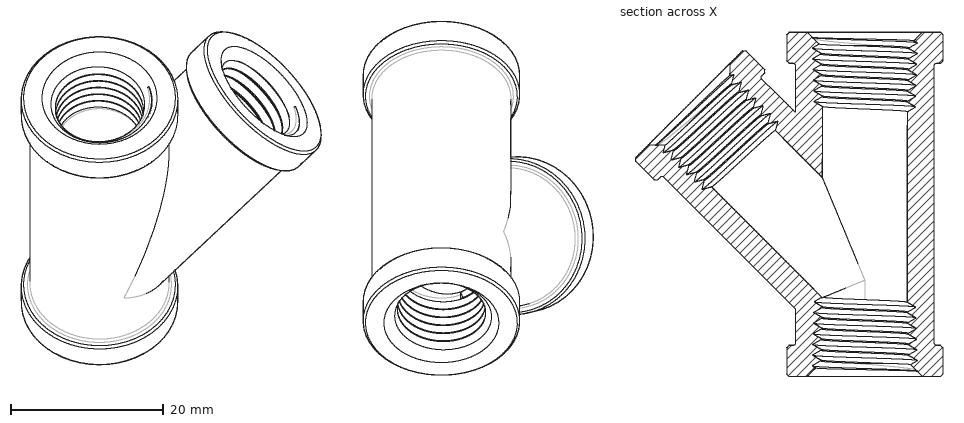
import cadquery as cq
import math


run_length = 45.25
pipe_radius = 9.15
collar_diameter = 20.6
collar_length = 4.1
collar_chamfer = 0.3
collar_root_fillet = 0.3

branch_angle = 45.0
branch_height = 12.65
branch_length = 32.65

bore_radius = 5.55
mouth_radius = 7.55

thread_pitch = 1.4
thread_length = 9.8
thread_depth = 1.1
thread_flank_angle = 30.0
thread_taper = 1 / 32
thread_turns = 6.5
thread_overlap = 0.023
thread_end_azimuth = -90.0

collar_radius = collar_diameter / 2
thread_mouth_radius = bore_radius + thread_length * thread_taper

countersink_depth = (mouth_radius - thread_mouth_radius) / (1 - thread_taper)


def place_run_top(shape):
    return shape.translate((0, 0, run_length))


def place_run_bottom(shape):
    return shape.rotate((0, 0, 0), (1, 0, 0), 180)


def place_branch(shape):
    along_branch = shape.translate((0, 0, branch_length))
    return along_branch.rotate((0, 0, 0), (1, 0, 0), -branch_angle).translate((0, 0, branch_height))


def pipe(length, radius):
    return cq.Workplane("XY").circle(radius).extrude(length)


def collar():
    """Collar ending at Z = 0, with chamfered rims and a fillet running down onto the pipe."""
    bottom = -collar_length
    return (
        cq.Workplane("XZ")
        .moveTo(0, 0)
        .lineTo(collar_radius - collar_chamfer, 0)
        .lineTo(collar_radius, -collar_chamfer)
        .lineTo(collar_radius, bottom + collar_chamfer)
        .lineTo(collar_radius - collar_chamfer, bottom)
        .lineTo(pipe_radius + collar_root_fillet, bottom)
        .radiusArc((pipe_radius, bottom - collar_root_fillet), -collar_root_fillet)
        .lineTo(0, bottom - collar_root_fillet)
        .close()
        .revolve(360, (0, 0), (0, 1))
    )


def thread_bore():
    """Cutter for the cone of the thread crests, opening at Z = 0."""
    return (
        cq.Workplane("XZ")
        .lineTo(thread_mouth_radius, 0)
        .lineTo(bore_radius, -thread_length)
        .lineTo(0, -thread_length)
        .close()
        .revolve(360, (0, 0), (0, 1))
    )


def countersink():
    """Cutter for the 45 degree countersink of a mouth at Z = 0."""
    return (
        cq.Workplane("XZ")
        .lineTo(mouth_radius, 0)
        .lineTo(mouth_radius - countersink_depth, -countersink_depth)
        .lineTo(0, -countersink_depth)
        .close()
        .revolve(360, (0, 0), (0, 1))
    )


def thread_groove():
    """Helical V groove cutter, climbing from the inner end of the thread into the countersink."""
    inner_radius = bore_radius - thread_overlap
    root_radius = bore_radius + thread_depth
    half_width = (root_radius - inner_radius) * math.tan(math.radians(thread_flank_angle))
    path = cq.Wire.makeHelix(
        thread_pitch,
        thread_pitch * thread_turns,
        bore_radius,
        angle=math.degrees(math.atan(thread_taper)),
    )
    groove = (
        cq.Workplane("XZ")
        .moveTo(inner_radius, -half_width)
        .lineTo(root_radius, 0)
        .lineTo(inner_radius, half_width)
        .close()
        .sweep(cq.Workplane(path), isFrenet=True)
    )
    return groove.rotate((0, 0, 0), (0, 0, 1), thread_end_azimuth).translate((0, 0, -thread_length))


def branch_pipe(radius):
    """Pipe from the crossing of the two axes up to the branch mouth."""
    pipe_at_mouth = pipe(branch_length, radius).translate((0, 0, -branch_length))
    return place_branch(pipe_at_mouth)


port_placements = (place_run_top, place_run_bottom, place_branch)

body = pipe(run_length, pipe_radius).union(branch_pipe(pipe_radius))
for place in port_placements:
    body = body.union(place(collar()))

body = body.cut(pipe(run_length, bore_radius)).cut(branch_pipe(bore_radius))
for place in port_placements:
    body = body.cut(place(thread_bore()))
    body = body.cut(place(thread_groove()))
    body = body.cut(place(countersink()))

result = body.solids()